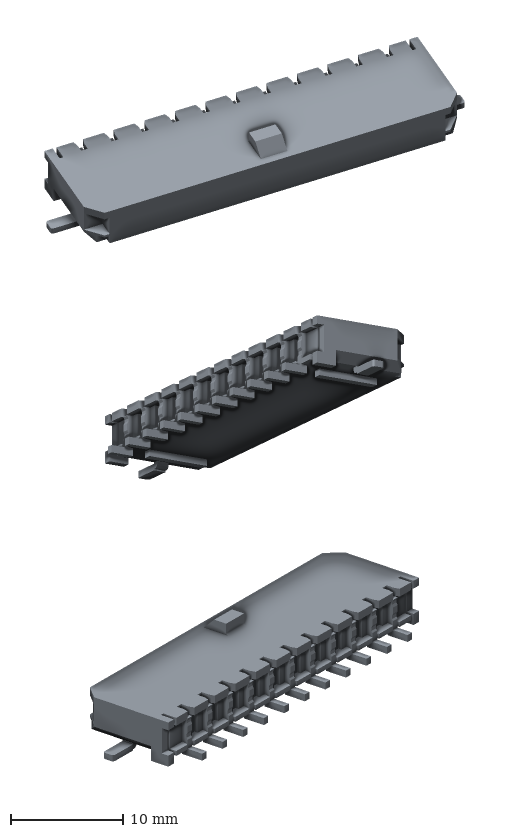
import cadquery as cq


overall_length = 40.65
contact_count = 11
contact_row_length = 30.0
contact_pitch = contact_row_length / (contact_count - 1)

housing_length = 36.63
housing_depth = 9.85
housing_bottom = 0.75
housing_top = 4.5
half_length = housing_length / 2
corner_cut_x = 1.5
corner_cut_y = 1.35

recess_depth = 0.75
recess_bottom = 1.2
recess_top = 3.75
groove_width = 0.85
groove_depth = 1.1

standoff = 0.12
leg_depth = 1.95
leg_width = 0.8
bevel_size = 0.85

end_slot_width = 0.35
end_slot_depth = 1.45
end_slot_undercut = 0.3
end_slot_step = 2.8

front_step_inset = 1.83
front_step_bottom = 1.83
front_notch_depth = 0.6

contact_width = 0.65
contact_front = 0.12
shank_groove_depth = 0.12
contact_top = 3.7
shank_grooves = ((3.65, 3.4, 3.17, 2.93), (2.3, 2.07, 1.75, 1.6))
foot_tip = -1.5
foot_thickness = 0.7
contact_slot_depth = 1.35
mouth_width = 0.98
mouth_depth = 0.55

latch_width = 2.6
latch_rear = 6.6
latch_flat_end = 7.93
latch_ramp_end = 9.1
latch_top = 5.65
latch_root_radius = 0.25

rail_start = 2.2
rail_end = 8.17
rail_width = 0.8
rail_y = 14.67
tab_center_x = 5.2
tab_width = 1.18
tab_thickness = 0.6
tab_root_length = 0.55
tab_root_radius = 0.4
tab_corner_radius = 0.25

ends = (-1, 1)
contact_positions = [(i - (contact_count - 1) / 2) * contact_pitch for i in range(contact_count)]


def box(x_range, y_range, z_range):
    """Axis-aligned block between the two given limits on each axis, in any order."""
    x0, x1 = sorted(x_range)
    y0, y1 = sorted(y_range)
    z0, z1 = sorted(z_range)
    return cq.Workplane("XY").box(x1 - x0, y1 - y0, z1 - z0, centered=False).translate((x0, y0, z0))


def xz_prism(points, y_center, width):
    """Outline in the XZ plane, extruded symmetrically about y_center."""
    return cq.Workplane("XZ", origin=(0, y_center, 0)).polyline(points).close().extrude(width / 2, both=True)


def yz_prism(points, x_start, x_end):
    """Outline in the YZ plane, extruded from x_start to x_end."""
    return cq.Workplane("YZ", origin=(x_start, 0, 0)).polyline(points).close().extrude(x_end - x_start)


def housing_block():
    """Main block with cut front corners, bevelled lower side edges and a rear leg at each end."""
    front_corner = half_length - corner_cut_y
    cut_start = housing_depth - corner_cut_x
    outline = [
        (0, -half_length),
        (cut_start, -half_length),
        (housing_depth, -front_corner),
        (housing_depth, front_corner),
        (cut_start, half_length),
        (0, half_length),
    ]
    height = housing_top - housing_bottom
    block = cq.Workplane("XY", origin=(0, 0, housing_bottom)).polyline(outline).close().extrude(height)
    for end in ends:
        side = end * half_length
        bevel = [
            (side, housing_bottom),
            (side, housing_bottom + bevel_size),
            (side - end * bevel_size, housing_bottom),
        ]
        block = block.cut(yz_prism(bevel, leg_depth, housing_depth))
        leg_sides = (side, side - end * leg_width)
        block = block.union(box((0, leg_depth), leg_sides, (standoff, housing_bottom + bevel_size)))
    return block


def front_corner_steps(end):
    """Pocket and lower notch cut into one front corner."""
    sides = (end * half_length, end * (half_length - front_step_inset))
    step = box((housing_depth - corner_cut_x, housing_depth), sides, (front_step_bottom, recess_top))
    notch_top = housing_bottom + bevel_size
    notch_start = housing_depth - front_notch_depth
    return step.union(box((notch_start, housing_depth), sides, (housing_bottom, notch_top)))


def rear_recess():
    """Full-length rear recess with a deeper upright groove midway between neighbouring contacts."""
    heights = (recess_bottom, recess_top)
    recess = box((0, recess_depth), (-half_length, half_length), heights)
    for y in contact_positions[:-1]:
        center = y + contact_pitch / 2
        groove_sides = (center - groove_width / 2, center + groove_width / 2)
        recess = recess.union(box((0, groove_depth), groove_sides, heights))
    return recess


def end_slot(end):
    """Vertical slot inside a leg, undercut by a small ramp below the top wall."""
    ramp_end = end_slot_depth + end_slot_undercut
    ramp_rear = end_slot_depth + end_slot_undercut / 2
    ramp_bottom = recess_top - end_slot_undercut / 2
    profile = [
        (0, 0),
        (end_slot_depth, 0),
        (end_slot_depth, end_slot_step),
        (ramp_rear, end_slot_step),
        (ramp_rear, ramp_bottom),
        (ramp_end, recess_top),
        (end_slot_depth, recess_top),
        (end_slot_depth, housing_top),
        (0, housing_top),
    ]
    center = end * (half_length - leg_width - end_slot_width / 2)
    return xz_prism(profile, center, end_slot_width)


def contact_slot(y):
    """Slot for one contact through the rear walls, with a flared mouth."""
    sides = (y - contact_width / 2, y + contact_width / 2)
    slot = box((0, recess_depth), sides, (housing_bottom, housing_top))
    slot = slot.union(box((0, contact_slot_depth), sides, (contact_top, housing_top)))
    mouth = [
        (0, y - mouth_width / 2),
        (mouth_depth, y - contact_width / 2),
        (mouth_depth, y + contact_width / 2),
        (0, y + mouth_width / 2),
    ]
    height = housing_top - housing_bottom
    return slot.union(cq.Workplane("XY", origin=(0, 0, housing_bottom)).polyline(mouth).close().extrude(height))


def contact(y):
    """Bent contact: flat solder foot and an upright shank with two shallow grooves."""
    groove_x = contact_front + shank_groove_depth
    profile = [
        (foot_tip, 0),
        (recess_depth, 0),
        (recess_depth, contact_top),
        (contact_front, contact_top),
    ]
    for top, inner_top, inner_bottom, bottom in shank_grooves:
        profile += [
            (contact_front, top),
            (groove_x, inner_top),
            (groove_x, inner_bottom),
            (contact_front, bottom),
        ]
    profile += [(contact_front, foot_thickness), (foot_tip, foot_thickness)]
    return xz_prism(profile, y, contact_width)


def latch():
    """Latch with a sloped front and a concave fillet at its rear foot."""
    body = xz_prism(
        [
            (latch_rear, housing_top),
            (latch_rear, latch_top),
            (latch_flat_end, latch_top),
            (latch_ramp_end, housing_top),
        ],
        0,
        latch_width,
    )
    root = (
        cq.Workplane("XZ")
        .moveTo(latch_rear, housing_top)
        .lineTo(latch_rear, housing_top + latch_root_radius)
        .radiusArc((latch_rear - latch_root_radius, housing_top), latch_root_radius)
        .close()
        .extrude(latch_width / 2, both=True)
    )
    return body.union(root)


def rail(end):
    """Straight support rail under the housing, near one end."""
    center = end * rail_y
    sides = (center - rail_width / 2, center + rail_width / 2)
    return box((rail_start, rail_end), sides, (standoff, housing_bottom))


def solder_tab(end):
    """Flat tab with rounded outer corners and a root block that joins it to the housing."""
    x_range = (tab_center_x - tab_width / 2, tab_center_x + tab_width / 2)
    root_outer = end * (half_length - leg_width)
    root_inner = root_outer - end * tab_root_length
    outer_face, inner_face = (">Y", "<Y") if end > 0 else ("<Y", ">Y")
    tab = box(x_range, (end * overall_length / 2, root_outer), (0, tab_thickness))
    tab = tab.faces(outer_face).edges("|Z").fillet(tab_corner_radius)
    root = box(x_range, (root_outer, root_inner), (standoff, housing_bottom))
    root = root.faces(inner_face).edges("<Z").fillet(tab_root_radius)
    return tab.union(root)


result = housing_block().cut(rear_recess())
for end in ends:
    result = result.cut(front_corner_steps(end)).cut(end_slot(end))
for y in contact_positions:
    result = result.cut(contact_slot(y)).union(contact(y))
result = result.union(latch())
for end in ends:
    result = result.union(rail(end)).union(solder_tab(end))